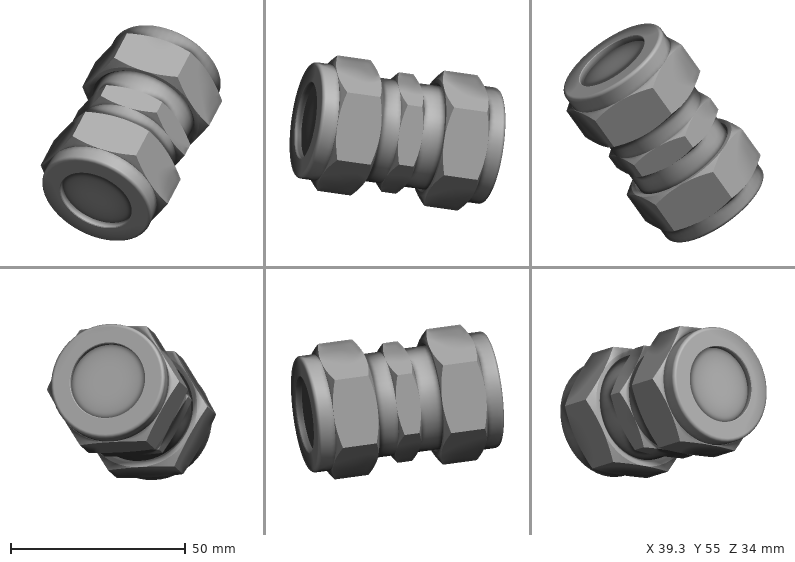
import cadquery as cq
import math


body_diameter = 30.0
body_hex_flats = 30.0
body_hex_width = 7.0

nut_flats = 34.0
nut_width = 13.0
body_gap = 6.0
nut_mouth_diameter = 31.5
nut_mouth_depth = (nut_mouth_diameter - body_diameter) / 2
hex_chamfer_angle = 30.0

collar_diameter = 33.7
collar_length = 5.0
collar_fillet = 1.0

recess_diameter = 22.0
recess_depth = 2.0
recess_chamfer = 0.2

nut_start = body_hex_width / 2 + body_gap
nut_end = nut_start + nut_width
end_face = nut_end + collar_length


def cylinder(diameter, start, length):
    """Cylinder along +Y beginning at Y = start."""
    plane = cq.Workplane("XZ", origin=(0, start, 0))
    return plane.circle(diameter / 2).extrude(-length)


def chamfered_hexagon(flats, start, width):
    """Hexagonal prism along +Y, corners on the X axis, with conical chamfers at both ends."""
    face_radius = flats / 2
    corner_radius = face_radius / math.cos(math.pi / 6)
    plane = cq.Workplane("XZ", origin=(0, start, 0))
    prism = plane.polygon(6, 2 * corner_radius).extrude(-width)

    chamfer_drop = (corner_radius - face_radius) * math.tan(math.radians(hex_chamfer_angle))
    envelope = (
        cq.Workplane("XY")
        .moveTo(0, start)
        .lineTo(face_radius, start)
        .lineTo(corner_radius, start + chamfer_drop)
        .lineTo(corner_radius, start + width - chamfer_drop)
        .lineTo(face_radius, start + width)
        .lineTo(0, start + width)
        .close()
        .revolve(360, (0, 0, 0), (0, 1, 0))
    )
    return prism.intersect(envelope)


def make_nut():
    """Nut on the +Y side with its collar, end recess and countersunk mouth."""
    collar = cylinder(collar_diameter, nut_end, collar_length)
    collar = collar.faces(">Y").edges().fillet(collar_fillet)
    nut = chamfered_hexagon(nut_flats, nut_start, nut_width).union(collar)

    recess = cylinder(recess_diameter, end_face - recess_depth, recess_depth)
    nut = nut.cut(recess)
    nut = nut.faces(">Y").edges(cq.selectors.RadiusNthSelector(0)).chamfer(recess_chamfer)

    mouth_plane = cq.Workplane("XZ", origin=(0, nut_start, 0))
    mouth = (
        mouth_plane.circle(nut_mouth_diameter / 2)
        .workplane(offset=-nut_mouth_depth)
        .circle(body_diameter / 2)
        .loft(ruled=True)
    )
    return nut.cut(mouth)


def make_body():
    """Round body with its wrench hexagon, reaching past both nuts' countersinks."""
    half_length = nut_start + nut_mouth_depth
    barrel = cylinder(body_diameter, -half_length, 2 * half_length)
    return barrel.union(chamfered_hexagon(body_hex_flats, -body_hex_width / 2, body_hex_width))


nut = make_nut()
result = make_body().union(nut).union(nut.mirror("XZ"))